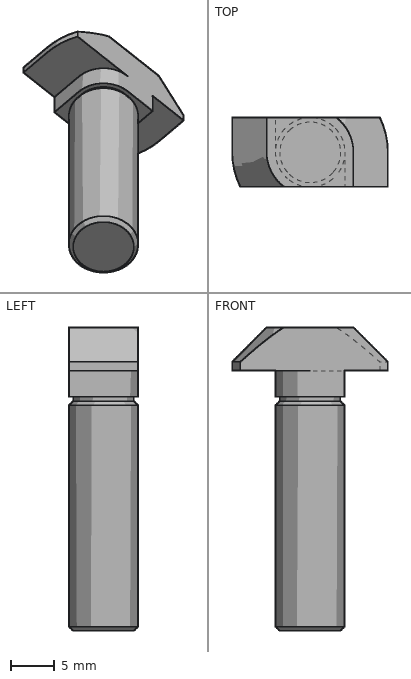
import cadquery as cq

total_height = 35.0
head_length = 18.0
shank_diameter = 8.0
relief_diameter = 7.0
head_height = 5.0
head_rim_height = 1.0
neck_height = 3.0
relief_height = 0.5
chamfer_height = 0.5

head_radius = head_length / 2
shank_radius = shank_diameter / 2
relief_radius = relief_diameter / 2
slope_height = head_height - head_rim_height
head_top_radius = head_radius - slope_height
head_bottom = total_height - head_height
head_rim_top = head_bottom + head_rim_height
neck_bottom = head_bottom - neck_height
relief_bottom = neck_bottom - relief_height
shank_top = relief_bottom - chamfer_height

head_profile = [
    (0, neck_bottom),
    (shank_radius, neck_bottom),
    (shank_radius, head_bottom),
    (head_radius, head_bottom),
    (head_radius, head_rim_top),
    (head_top_radius, total_height),
    (0, total_height),
]

shank_profile = [
    (0, 0),
    (relief_radius, 0),
    (shank_radius, chamfer_height),
    (shank_radius, shank_top),
    (relief_radius, relief_bottom),
    (relief_radius, neck_bottom),
    (0, neck_bottom),
]


def revolve_profile(points):
    """Turn a half profile around the Z axis."""
    return cq.Workplane("XZ").polyline(points).close().revolve(360, (0, 0), (0, 1))


def square_quarter():
    """Straight-sided quarter of the head and neck, at +X and -Y."""
    return cq.Workplane("XZ").polyline(head_profile).close().extrude(shank_radius)


def round_quarter():
    """Turned quarter of the head and neck, at -X and -Y, trimmed to the head width."""
    quarter_space = cq.Workplane("XY").box(
        head_radius, shank_radius, total_height, centered=False
    ).translate((-head_radius, -shank_radius, 0))
    return revolve_profile(head_profile).intersect(quarter_space)


head_half = square_quarter().union(round_quarter())
opposite_half = head_half.rotate((0, 0, 0), (0, 0, 1), 180)
shank = revolve_profile(shank_profile)

result = head_half.union(opposite_half).union(shank)